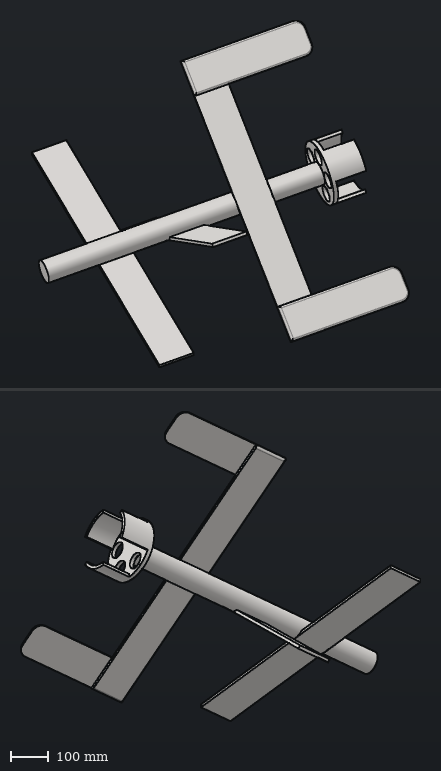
import cadquery as cq
import math

shaft_radius = 32.0
total_length = 900.0

blade_length = 800.0
blade_width = 100.0
blade_thickness = 10.0
first_blade_start = 150.0
blade_pitch = 2 * blade_width
blade_offset = shaft_radius - blade_thickness / 2
second_blade_angle = 45.0
fork_angle = -30.0

arm_width = blade_width
arm_thickness = blade_thickness
arm_corner_radius = 27.0
edge_round = 6.0

wheel_radius = 90.0
wheel_thickness = 13.0
wheel_start = total_length - blade_width
hole_count = 5
hole_radius = 22.5
hole_circle_radius = 57.0
first_hole_angle = 27.5
tab_count = 3
tab_thickness = 10.0
tab_span = 60.0


def disc(radius, start, length):
    """Cylinder around the Y axis, growing toward +Y from start."""
    return cq.Workplane("XZ", origin=(0, start, 0)).circle(radius).extrude(-length)


def turn(body, angle):
    """Rotate about the shaft axis, positive from +X toward +Z."""
    return body.rotate((0, 0, 0), (0, -1, 0), angle)


def blade(index, side):
    """Level blade above (side = 1) or below (side = -1) the shaft axis."""
    start = first_blade_start + index * blade_pitch
    plate = cq.Workplane("XY").box(blade_length, blade_width, blade_thickness)
    return plate.translate((0, start + blade_width / 2, side * blade_offset))


def fork():
    """Rear blade with a round-ended arm on each end, still level."""
    body = blade(2, 1).edges("<Z and (<X or >X or <Y)").fillet(edge_round)
    arm_start = first_blade_start + 2 * blade_pitch
    arm_length = total_length - arm_start
    for side in (-1, 1):
        arm = (
            cq.Workplane("XY")
            .box(arm_width, arm_length, arm_thickness)
            .edges(">Y and |Z")
            .fillet(arm_corner_radius)
            .faces(">Z")
            .edges()
            .fillet(edge_round)
            .translate((
                side * (blade_length - arm_width) / 2,
                arm_start + arm_length / 2,
                blade_offset + (blade_thickness + arm_thickness) / 2,
            ))
        )
        body = body.union(arm)
    return body


def rim_gap():
    """Wedge centred on +X that clears the space between two neighbouring tabs."""
    half_gap = math.radians(360 / tab_count - tab_span) / 2
    reach = 2 * wheel_radius
    half_height = reach * math.tan(half_gap)
    return (
        cq.Workplane("XZ", origin=(0, wheel_start + wheel_thickness, 0))
        .polyline([(0, 0), (reach, -half_height), (reach, half_height)])
        .close()
        .extrude(wheel_start - total_length)
    )


def wheel():
    """Cup cut down to a perforated disc with rim tabs, one of them on the -X side."""
    body = disc(wheel_radius, wheel_start, total_length - wheel_start)
    body = body.cut(disc(wheel_radius - tab_thickness, wheel_start + wheel_thickness, total_length))
    for index in range(tab_count):
        body = body.cut(turn(rim_gap(), index * 360 / tab_count))
    for index in range(hole_count):
        hole = disc(hole_radius, wheel_start, wheel_thickness).translate((hole_circle_radius, 0, 0))
        body = body.cut(turn(hole, first_hole_angle + index * 360 / hole_count))
    return body


shaft = disc(shaft_radius, 0, wheel_start + wheel_thickness)
result = (
    shaft
    .union(blade(0, -1))
    .union(turn(blade(1, -1), second_blade_angle))
    .union(turn(fork(), fork_angle))
    .union(wheel())
)